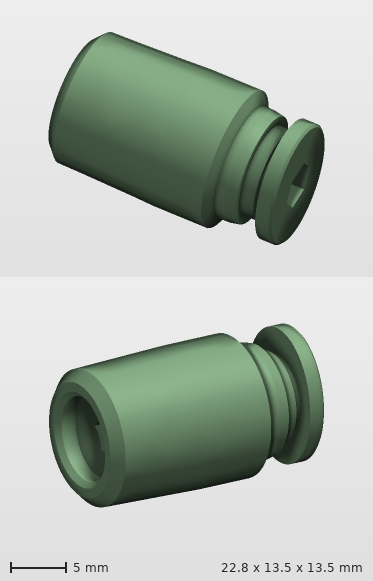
import cadquery as cq
import math

LENGTH = 22.75

NOSE_DIAMETER = 10.8
NOSE_LENGTH = 1.0
TAPER_START_DIAMETER = 12.88
BARREL_DIAMETER = 13.5
TAPER_END = 11.0
BARREL_END = 16.27
SHOULDER_END = 17.02

COLLAR_DIAMETER = 11.0
COLLAR_END_DIAMETER = 10.6
COLLAR_STRAIGHT_END = 18.02
COLLAR_END = 19.02

STEP_DIAMETER = 8.8
STEP_END = 20.35
NECK_DIAMETER = 7.5
NECK_FLARE = 0.1
FLANGE_HEIGHT = 13.0
FLANGE_WIDTH = 11.0
FLANGE_THICKNESS = 1.6
FLANGE_CHAMFER = 0.23
FLANGE_START = LENGTH - FLANGE_THICKNESS

SOCKET_DIAMETER = 8.0
SOCKET_CHAMFER = 0.5
SOCKET_DEPTH = 2.0
FLOOR_ANGLE = 30.0
HEX_ACROSS_FLATS = 4.0


def revolve_profile(stations):
    """Revolve (x, diameter) stations about the X axis into a solid."""
    outline = [(stations[0][0], 0)]
    outline += [(x, diameter / 2) for x, diameter in stations]
    outline.append((stations[-1][0], 0))
    return cq.Workplane("XZ").polyline(outline).close().revolve(360, (0, 0, 0), (1, 0, 0))


def make_body():
    return revolve_profile([
        (0, NOSE_DIAMETER),
        (NOSE_LENGTH, TAPER_START_DIAMETER),
        (TAPER_END, BARREL_DIAMETER),
        (BARREL_END, BARREL_DIAMETER),
        (SHOULDER_END, COLLAR_DIAMETER),
        (COLLAR_STRAIGHT_END, COLLAR_DIAMETER),
        (COLLAR_END, COLLAR_END_DIAMETER),
        (COLLAR_END, STEP_DIAMETER),
        (STEP_END, STEP_DIAMETER),
        (STEP_END, NECK_DIAMETER),
        (FLANGE_START - NECK_FLARE, NECK_DIAMETER),
        (FLANGE_START, NECK_DIAMETER + 2 * NECK_FLARE),
    ])


def make_flange():
    return (
        cq.Workplane("YZ", origin=(FLANGE_START, 0, 0))
        .ellipse(FLANGE_WIDTH / 2, FLANGE_HEIGHT / 2)
        .extrude(FLANGE_THICKNESS)
        .faces(">X")
        .chamfer(FLANGE_CHAMFER)
    )


def make_socket():
    floor_depth = (SOCKET_DIAMETER - HEX_ACROSS_FLATS) / 2 * math.tan(math.radians(FLOOR_ANGLE))
    return revolve_profile([
        (0, SOCKET_DIAMETER + 2 * SOCKET_CHAMFER),
        (SOCKET_CHAMFER, SOCKET_DIAMETER),
        (SOCKET_DEPTH, SOCKET_DIAMETER),
        (SOCKET_DEPTH + floor_depth, HEX_ACROSS_FLATS),
    ])


def make_hex_hole():
    across_corners = HEX_ACROSS_FLATS / math.cos(math.pi / 6)
    return cq.Workplane("YZ").polygon(6, across_corners).extrude(LENGTH)


result = make_body().union(make_flange()).cut(make_socket()).cut(make_hex_hole())